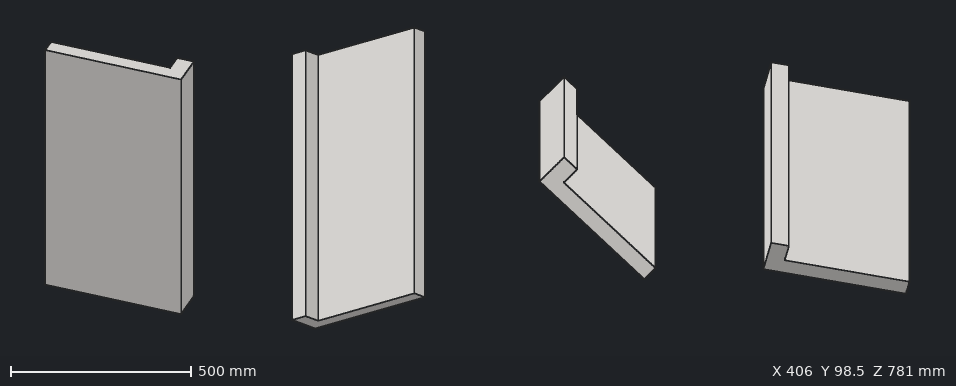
import cadquery as cq

width = 406.0
depth = 98.5
height = 781.0

plate_thickness = 45.0
flange_width = 51.0

plate = cq.Workplane("XY").box(width, plate_thickness, height, centered=False)

flange = (
    cq.Workplane("XY")
    .box(flange_width, depth, height, centered=False)
    .translate((width - flange_width, 0, 0))
)

result = plate.union(flange)